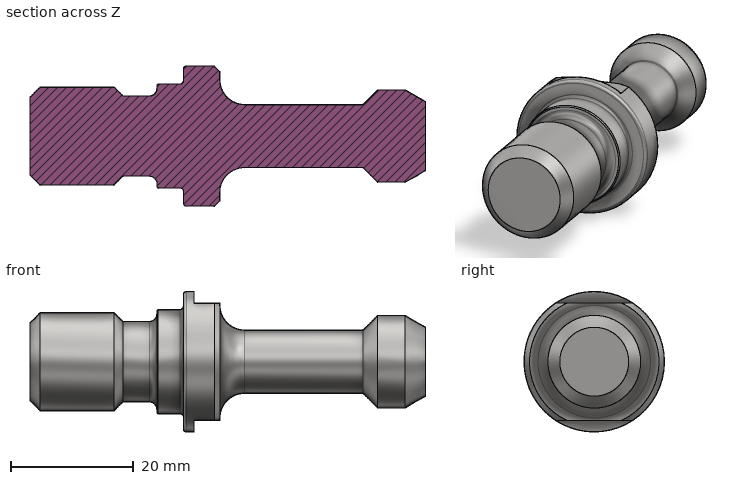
import cadquery as cq
import math

overall_length = 64.41

thread_radius = 16.0 / 2
neck_radius = 13.11 / 2
collar_radius = 16.99 / 2
flange_radius = 22.86 / 2
shank_radius = 10.31 / 2
head_radius = 15.09 / 2

thread_end_x = 13.72
collar_start_x = 20.66
flange_start_x = 24.97
flat_start_x = 26.75
flange_end_x = 30.94
head_start_x = 56.6
head_end_x = 61.05

thread_chamfer = 1.7
neck_fillet = 1.2
collar_chamfer = 0.2
collar_fillet = 0.5
flange_rounding = 0.5
flange_chamfer = 0.9
shank_fillet = 4.0
head_fillet = 0.3
head_nose_angle = 30.0
head_cone_angle = 45.0

across_flats = 19.05

neck_start_x = thread_end_x + thread_radius - neck_radius
cone_root_x = head_start_x - (head_radius - shank_radius) / math.tan(math.radians(head_cone_angle))
nose_length = overall_length - head_end_x
nose_radius = head_radius - nose_length * math.tan(math.radians(head_nose_angle))


def circle_point(center, radius, degrees):
    """Point on a circle at the given angle, measured from the +X direction."""
    angle = math.radians(degrees)
    return center[0] + radius * math.cos(angle), center[1] + radius * math.sin(angle)


def turned_body():
    """Revolve the half profile (x along the axis, y as radius) about the X axis."""
    neck_center = (collar_start_x - neck_fillet, neck_radius + neck_fillet)
    collar_center = (flange_start_x - collar_fillet, collar_radius + collar_fillet)
    rounding_center = (flange_start_x + flange_rounding, flange_radius - flange_rounding)
    shank_center = (flange_end_x + shank_fillet, shank_radius + shank_fillet)

    head_tangent = head_fillet * math.tan(math.radians(head_cone_angle / 2))
    head_center = (cone_root_x - head_tangent, shank_radius + head_fillet)
    head_fillet_end = circle_point(head_center, head_fillet, head_cone_angle - 90.0)
    head_fillet_middle = circle_point(head_center, head_fillet, -90.0 + head_cone_angle / 2)

    profile = (
        cq.Workplane("XY")
        .moveTo(0, 0)
        .lineTo(0, thread_radius - thread_chamfer)
        .lineTo(thread_chamfer, thread_radius)
        .lineTo(thread_end_x, thread_radius)
        .lineTo(neck_start_x, neck_radius)
        .lineTo(neck_center[0], neck_radius)
        .threePointArc(circle_point(neck_center, neck_fillet, -45.0), (collar_start_x, neck_center[1]))
        .lineTo(collar_start_x, collar_radius - collar_chamfer)
        .lineTo(collar_start_x + collar_chamfer, collar_radius)
        .lineTo(collar_center[0], collar_radius)
        .threePointArc(circle_point(collar_center, collar_fillet, -45.0), (flange_start_x, collar_center[1]))
        .lineTo(flange_start_x, rounding_center[1])
        .threePointArc(
            circle_point(rounding_center, flange_rounding, 135.0),
            (rounding_center[0], flange_radius),
        )
        .lineTo(flange_end_x - flange_chamfer, flange_radius)
        .lineTo(flange_end_x, flange_radius - flange_chamfer)
        .lineTo(flange_end_x, shank_center[1])
        .threePointArc(circle_point(shank_center, shank_fillet, -135.0), (shank_center[0], shank_radius))
        .lineTo(head_center[0], shank_radius)
        .threePointArc(head_fillet_middle, head_fillet_end)
        .lineTo(head_start_x, head_radius)
        .lineTo(head_end_x, head_radius)
        .lineTo(overall_length, nose_radius)
        .lineTo(overall_length, 0)
        .close()
    )
    return profile.revolve(360, (0, 0, 0), (1, 0, 0))


def flat_cutter(side):
    """Block that cuts one wrench flat; side is +1 for +Z and -1 for -Z."""
    block_length = flange_end_x - flat_start_x
    block_width = 2 * flange_radius
    block_height = flange_radius
    center_x = flat_start_x + block_length / 2
    center_z = side * (across_flats / 2 + block_height / 2)
    return (
        cq.Workplane("XY")
        .box(block_length, block_width, block_height)
        .translate((center_x, 0, center_z))
    )


result = turned_body()
for flat_side in (1, -1):
    result = result.cut(flat_cutter(flat_side))